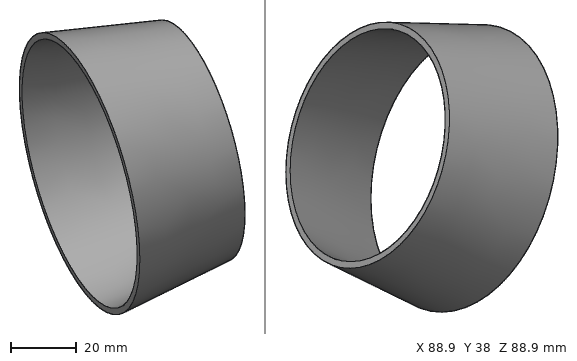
import cadquery as cq

wide_diameter = 88.9
narrow_diameter = 76.1
length = 38.0
wall = 2.05

wide_radius = wide_diameter / 2
narrow_radius = narrow_diameter / 2
half_length = length / 2

wall_section = (
    cq.Workplane("XY")
    .moveTo(wide_radius - wall, -half_length)
    .lineTo(wide_radius, -half_length)
    .lineTo(narrow_radius, half_length)
    .lineTo(narrow_radius - wall, half_length)
    .close()
)

result = wall_section.revolve(360, (0, 0, 0), (0, 1, 0))